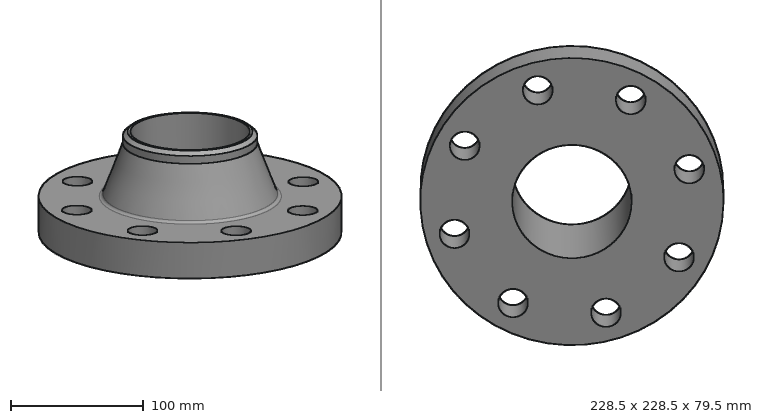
import cadquery as cq

flange_diameter = 228.5
flange_thickness = 28.5

overall_height = 79.5
hub_base_diameter = 133.2
neck_diameter = 101.5
neck_height = 9.1
bore_diameter = 90.0
hub_fillet_radius = 3.0

bevel_height = 3.0
land_diameter = 94.2

bolt_count = 8
bolt_circle_diameter = 184.2
bolt_hole_diameter = 22.5

flange_radius = flange_diameter / 2
hub_base_radius = hub_base_diameter / 2
neck_radius = neck_diameter / 2
neck_start = overall_height - neck_height
bevel_start = overall_height - bevel_height


def flange_and_hub():
    """Revolve the solid outer outline, then round the corner where the hub meets the plate."""
    outline = (
        cq.Workplane("XZ")
        .moveTo(0, 0)
        .lineTo(flange_radius, 0)
        .lineTo(flange_radius, flange_thickness)
        .lineTo(hub_base_radius, flange_thickness)
        .lineTo(neck_radius, neck_start)
        .lineTo(neck_radius, bevel_start)
        .lineTo(land_diameter / 2, overall_height)
        .lineTo(0, overall_height)
        .close()
    )
    body = outline.revolve(360, (0, 0, 0), (0, 1, 0))
    hub_foot = cq.selectors.RadiusNthSelector(-2)
    return body.edges("%CIRCLE").edges(hub_foot).fillet(hub_fillet_radius)


def bore():
    return cq.Workplane("XY").circle(bore_diameter / 2).extrude(overall_height)


def bolt_holes():
    """Through holes evenly spaced on the bolt circle, the first one on the X axis."""
    return (
        cq.Workplane("XY")
        .polarArray(bolt_circle_diameter / 2, 0, 360, bolt_count)
        .circle(bolt_hole_diameter / 2)
        .extrude(flange_thickness)
    )


result = flange_and_hub().cut(bore()).cut(bolt_holes())